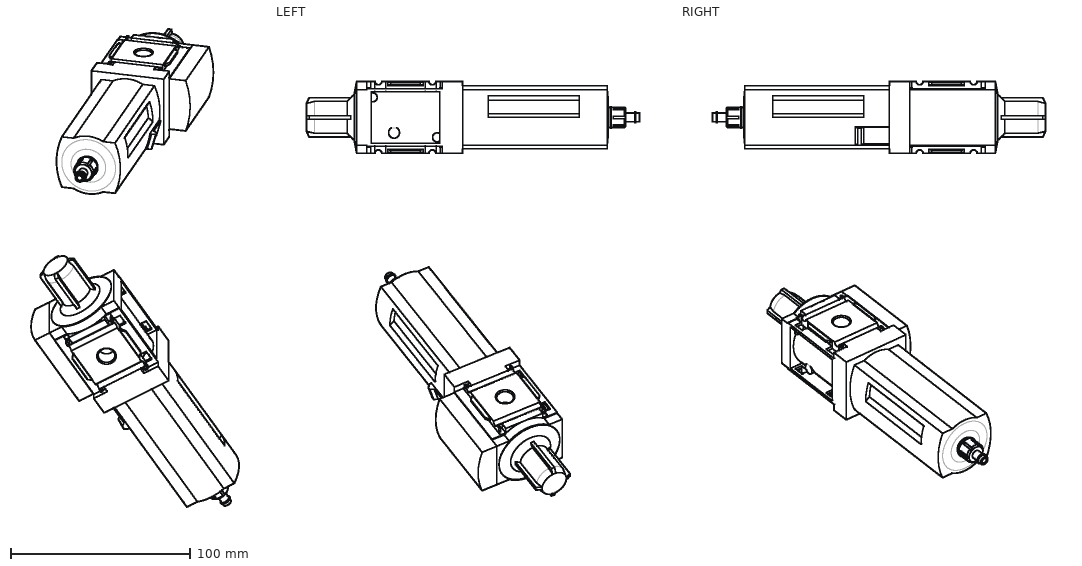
import cadquery as cq
import math


HOUSING_LEFT = -21.2
HOUSING_RIGHT = 20.8
HOUSING_HALF_HEIGHT = 20.0
HOUSING_END = -59.0
COLLAR_START = -47.7
DECK_HEIGHT = 15.5
STRIP_HEIGHT = 16.0
SADDLE_END = -5.5
PORT_Y = -27.1

PLATE_HALF_WIDTH = 15.0
GROOVE_RADIUS = 1.9
GROOVE_OFFSET = 15.0
NOTCH_WIDTH = 3.2
NOTCH_INNER_OFFSET = 17.3
NOTCH_FLOOR_RISE = 0.5
HOOK_WIDTH = 1.1
HOOK_LENGTH = 2.0
RAIL_WIDTH = 2.5
RAIL_LENGTH = 19.7
RAIL_CORNER = 1.7
RAIL_TOP_DEPTH = 0.5
RAIL_EDGE_DEPTH = 1.7
RAIL_ROOT_DEPTH = 2.5
PORT_DIAMETER = 9.3
PORT_DEPTH = 9.3
PORT_CHAMFER = 0.7

RECESS_LENGTH = 38.0
RECESS_HALF_HEIGHT = 14.3
RECESS_FLOOR = -7.5
CORE_RADIUS = 19.1
PIN_END = -18.2
PINS = (
    (6.1, -20.8, -8.5),
    (5.0, -9.0, 11.1),
    (5.0, -44.8, -11.1),
)
SLOT_OUTER = -19.1
SLOT_PLATE_BITE = 0.2
SLOT_LENGTH = 6.1
SLOT_OFFSET = 14.1

KNOB_TIP = 28.0
KNOB_RADIUS = 9.0
KNOB_TIP_RADIUS = 7.8
KNOB_TAPER_LENGTH = 4.5
FLARE_START = 5.4
FLARE_END = 1.5
FLARE_RADIUS = 12.8
KNOB_BASE_RADIUS = 19.5
KNOB_BASE_EDGE = 0.2
FIN_REACH = 11.0
FIN_WIDTH = 2.0
FIN_TIP = 26.5

BOWL_END = -139.6
BOWL_HALF_WIDTH = 18.5
BOWL_CORNER_X = 15.5
BOWL_ROUND_RADIUS = 17.6
BOSS_BASE_RADIUS = 15.6
BOSS_TOP_RADIUS = 10.0
BOSS_HEIGHT = 0.5
WINDOW_START = -73.4
WINDOW_END = -124.0
WINDOW_TOP = 12.0
WINDOW_TOP_SLOPE = 2.5
WINDOW_BOTTOM_SLOPE = 2.0
WINDOW_DEPTH = 2.6

LATCH_TOP_Z = -5.2
LATCH_WIDTH = 9.8
LATCH_STRIP_THICKNESS = 1.0
LATCH_BUTTON_THICKNESS = 3.0
LATCH_BUTTON_LENGTH = 4.8
LATCH_BUTTON_TAPER = 1.5

DRAIN_NECK_RADIUS = 5.5
DRAIN_RIM_DIAMETER = 12.0
DRAIN_BARREL_RADIUS = 5.8
DRAIN_NECK_LENGTH = 1.1
DRAIN_RIM_LENGTH = 0.5
DRAIN_END = -150.0
DRAIN_CHAMFER = 1.0
DRAIN_SLOT_COUNT = 6
DRAIN_SLOT_WIDTH = 1.3
DRAIN_SLOT_LENGTH = 7.0
DRAIN_SLOT_FLOOR_RADIUS = 5.2
NOZZLE_TIP = KNOB_TIP - 185.7
NOZZLE_DIAMETER = 5.0
NOZZLE_RIM_DIAMETER = 6.1
NOZZLE_RIM_START = -155.0
NOZZLE_RIM_LENGTH = 0.5
NOZZLE_BORE_DIAMETER = 3.0

GAUGE_RIGHT = HOUSING_LEFT + 54.0
GAUGE_CORNER_X = 30.3


def box(x_range, y_range, z_range):
    """Axis-aligned box between two limits on each axis."""
    lows, highs = zip(*(sorted(limits) for limits in (x_range, y_range, z_range)))
    sizes = [high - low for low, high in zip(lows, highs)]
    return cq.Workplane("XY").box(*sizes, centered=False).translate(lows)


def section_at(y):
    """Workplane across the long axis at y, with local axes (x, z); extrudes toward -Y."""
    return cq.Workplane("XZ", origin=(0, y, 0))


def cylinder(radius, start, end):
    """Round bar on the long axis; start is the +Y end."""
    return section_at(start).circle(radius).extrude(start - end)


def turned(profile):
    """Solid of revolution about the long axis from (radius, y) points."""
    return cq.Workplane("XY").polyline(profile).close().revolve(360, (0, 0, 0), (0, 1, 0))


def with_mirror(shape, plane):
    return shape.union(shape.mirror(plane))



def plate_rails():
    """Rails along both sides of the +Z plate, with sloped undersides and mitred ends."""
    outer_x = PLATE_HALF_WIDTH + RAIL_WIDTH
    root_z = HOUSING_HALF_HEIGHT - RAIL_ROOT_DEPTH
    edge_z = HOUSING_HALF_HEIGHT - RAIL_EDGE_DEPTH
    top_z = HOUSING_HALF_HEIGHT - RAIL_TOP_DEPTH
    profile = [
        (-PLATE_HALF_WIDTH, root_z),
        (-outer_x, edge_z),
        (-outer_x, top_z),
        (outer_x, top_z),
        (outer_x, edge_z),
        (PLATE_HALF_WIDTH, root_z),
    ]
    rails = section_at(PORT_Y + RAIL_LENGTH / 2).polyline(profile).close().extrude(RAIL_LENGTH)
    mitred_outline = (
        cq.Workplane("XY", origin=(0, PORT_Y, 0))
        .rect(2 * outer_x, RAIL_LENGTH)
        .extrude(HOUSING_HALF_HEIGHT)
        .edges("|Z")
        .chamfer(RAIL_CORNER)
    )
    return rails.intersect(mitred_outline)


def corner_notch(side, end, end_y):
    """Cutter for one plate corner that leaves a small hook standing in it."""
    height = (STRIP_HEIGHT + NOTCH_FLOOR_RISE, HOUSING_HALF_HEIGHT)
    edge_x = side * PLATE_HALF_WIDTH
    inner_y = PORT_Y + end * NOTCH_INNER_OFFSET
    notch = box((edge_x, edge_x - side * NOTCH_WIDTH), (end_y, inner_y), height)
    hook = box((edge_x, edge_x - side * HOOK_WIDTH), (inner_y, inner_y + end * HOOK_LENGTH), height)
    return notch.cut(hook)


def port_plate():
    """Raised plate on the +Z side: side rails, corner notches and grooves."""
    plate = box(
        (-PLATE_HALF_WIDTH, PLATE_HALF_WIDTH), (SADDLE_END, COLLAR_START), (0, HOUSING_HALF_HEIGHT)
    )
    plate = plate.union(plate_rails())
    for side in (-1, 1):
        for end, end_y in ((1, SADDLE_END), (-1, COLLAR_START)):
            plate = plate.cut(corner_notch(side, end, end_y))
    grooves = (
        cq.Workplane("YZ", origin=(-PLATE_HALF_WIDTH, PORT_Y, HOUSING_HALF_HEIGHT))
        .pushPoints([(-GROOVE_OFFSET, 0), (GROOVE_OFFSET, 0)])
        .circle(GROOVE_RADIUS)
        .extrude(2 * PLATE_HALF_WIDTH)
    )
    return plate.cut(grooves)


def port():
    """Cutter for the chamfered port in the +Z plate."""
    mouth = cq.Workplane("XY", origin=(0, PORT_Y, HOUSING_HALF_HEIGHT))
    hole = mouth.circle(PORT_DIAMETER / 2).extrude(-PORT_DEPTH)
    chamfer = mouth.circle(PORT_DIAMETER / 2 + PORT_CHAMFER).extrude(-PORT_CHAMFER, taper=45)
    return hole.union(chamfer)


def recess():
    """Cutter for the -X recess around the round core, with slots through its two walls."""
    half_length = RECESS_LENGTH / 2
    pocket = box(
        (HOUSING_LEFT, RECESS_FLOOR),
        (PORT_Y - half_length, PORT_Y + half_length),
        (-RECESS_HALF_HEIGHT, RECESS_HALF_HEIGHT),
    )
    for side in (-1, 1):
        slot_y = PORT_Y + side * SLOT_OFFSET
        slot = box(
            (SLOT_OUTER, SLOT_PLATE_BITE - PLATE_HALF_WIDTH),
            (slot_y - SLOT_LENGTH / 2, slot_y + SLOT_LENGTH / 2),
            (-HOUSING_HALF_HEIGHT, HOUSING_HALF_HEIGHT),
        )
        pocket = pocket.union(slot)
    return pocket.cut(cylinder(CORE_RADIUS, 0, COLLAR_START))


def recess_pins():
    """Stub pins that stand on the core and face -X."""
    pins = cq.Workplane("XY")
    for diameter, y, z in PINS:
        base = cq.Workplane("YZ", origin=(PIN_END, y, z))
        pins = pins.add(base.circle(diameter / 2).extrude(RECESS_FLOOR - PIN_END))
    return pins.combine()


def make_housing_block():
    width = (HOUSING_LEFT, HOUSING_RIGHT)
    full_height = (-HOUSING_HALF_HEIGHT, HOUSING_HALF_HEIGHT)
    block = box(width, (0, SADDLE_END), (-DECK_HEIGHT, DECK_HEIGHT))
    block = block.union(box(width, (SADDLE_END, COLLAR_START), (-STRIP_HEIGHT, STRIP_HEIGHT)))
    block = block.union(box(width, (COLLAR_START, HOUSING_END), full_height))
    block = block.union(cylinder(HOUSING_HALF_HEIGHT, 0, SADDLE_END))
    block = block.union(with_mirror(port_plate(), "XY"))
    block = block.cut(with_mirror(port(), "XY"))
    return block.cut(recess()).union(recess_pins())



def fin_pair():
    """Two opposite fins, made as one plate through the knob with sloped corners at the tip."""
    outline = [
        (-FIN_REACH, FLARE_END),
        (-FIN_REACH, FIN_TIP),
        (-KNOB_TIP_RADIUS, KNOB_TIP),
        (KNOB_TIP_RADIUS, KNOB_TIP),
        (FIN_REACH, FIN_TIP),
        (FIN_REACH, FLARE_END),
    ]
    return cq.Workplane("XY").polyline(outline).close().extrude(FIN_WIDTH / 2, both=True)


def make_knob():
    knob = turned([
        (0, 0),
        (KNOB_BASE_RADIUS, 0),
        (KNOB_BASE_RADIUS, KNOB_BASE_EDGE),
        (FLARE_RADIUS, FLARE_END),
        (KNOB_RADIUS, FLARE_START),
        (KNOB_RADIUS, KNOB_TIP - KNOB_TAPER_LENGTH),
        (KNOB_TIP_RADIUS, KNOB_TIP),
        (0, KNOB_TIP),
    ])
    return knob.union(fin_pair()).union(fin_pair().rotate((0, 0, 0), (0, 1, 0), 90))



SIDE_SAGITTA = BOWL_HALF_WIDTH - BOWL_CORNER_X
SIDE_RADIUS = (DECK_HEIGHT ** 2 + SIDE_SAGITTA ** 2) / (2 * SIDE_SAGITTA)


def side_x(z):
    """Half width of the bowl at height z, on its bulged side."""
    return BOWL_HALF_WIDTH - SIDE_RADIUS + math.sqrt(SIDE_RADIUS ** 2 - z ** 2)


def sight_window():
    """Cutter for the shallow +X window: sloped long walls and a floor that follows the side."""
    floor_bottom = WINDOW_BOTTOM_SLOPE
    floor_top = WINDOW_TOP - WINDOW_TOP_SLOPE
    floor_middle = (floor_bottom + floor_top) / 2
    return (
        section_at(WINDOW_START)
        .moveTo(side_x(floor_bottom) - WINDOW_DEPTH, floor_bottom)
        .threePointArc(
            (side_x(floor_middle) - WINDOW_DEPTH, floor_middle),
            (side_x(floor_top) - WINDOW_DEPTH, floor_top),
        )
        .lineTo(side_x(WINDOW_TOP), WINDOW_TOP)
        .lineTo(BOWL_HALF_WIDTH + WINDOW_DEPTH, WINDOW_TOP)
        .lineTo(BOWL_HALF_WIDTH + WINDOW_DEPTH, 0)
        .lineTo(BOWL_HALF_WIDTH, 0)
        .close()
        .extrude(WINDOW_START - WINDOW_END)
    )


def latch():
    """Thin strip against the lower +X side, ending in a raised button with a sloped end."""
    top_x = side_x(LATCH_TOP_Z)
    rise = DECK_HEIGHT + LATCH_TOP_Z
    slope = math.atan2(top_x - BOWL_CORNER_X, rise)
    strip_root = -2 * LATCH_STRIP_THICKNESS
    button_end = WINDOW_START - LATCH_BUTTON_LENGTH
    outline = [
        (strip_root, HOUSING_END),
        (LATCH_STRIP_THICKNESS, HOUSING_END),
        (LATCH_STRIP_THICKNESS, WINDOW_START),
        (LATCH_BUTTON_THICKNESS, WINDOW_START - LATCH_BUTTON_TAPER),
        (LATCH_BUTTON_THICKNESS, button_end + LATCH_BUTTON_TAPER),
        (LATCH_STRIP_THICKNESS, button_end),
        (strip_root, button_end),
    ]
    flat_latch = cq.Workplane("XY").polyline(outline).close().extrude(-LATCH_WIDTH)
    leaning = flat_latch.rotate((0, 0, 0), (0, 1, 0), math.degrees(slope))
    return leaning.translate((top_x, 0, LATCH_TOP_Z))


def make_bowl():
    length = HOUSING_END - BOWL_END
    bowl = (
        section_at(HOUSING_END)
        .moveTo(-BOWL_CORNER_X, DECK_HEIGHT)
        .lineTo(BOWL_CORNER_X, DECK_HEIGHT)
        .threePointArc((BOWL_HALF_WIDTH, 0), (BOWL_CORNER_X, -DECK_HEIGHT))
        .lineTo(-BOWL_CORNER_X, -DECK_HEIGHT)
        .threePointArc((-BOWL_HALF_WIDTH, 0), (-BOWL_CORNER_X, DECK_HEIGHT))
        .close()
        .extrude(length)
    )
    bowl = bowl.union(cylinder(BOWL_ROUND_RADIUS, HOUSING_END, BOWL_END))
    bowl = bowl.union(latch())
    bowl = bowl.cut(with_mirror(sight_window(), "YZ"))
    boss_top = BOWL_END - BOSS_HEIGHT
    boss = turned([
        (0, BOWL_END), (BOSS_BASE_RADIUS, BOWL_END), (BOSS_TOP_RADIUS, boss_top), (0, boss_top),
    ])
    return bowl.union(boss)



def make_drain():
    neck_start = BOWL_END - BOSS_HEIGHT
    rim_start = neck_start - DRAIN_NECK_LENGTH
    rim_end = rim_start - DRAIN_RIM_LENGTH
    nozzle_rim_end = NOZZLE_RIM_START - NOZZLE_RIM_LENGTH
    drain = cylinder(DRAIN_NECK_RADIUS, neck_start, rim_end)
    drain = drain.union(cylinder(DRAIN_RIM_DIAMETER / 2, rim_start, rim_end))
    barrel = cylinder(DRAIN_BARREL_RADIUS, rim_end, DRAIN_END)
    barrel = barrel.faces("<Y").edges().chamfer(DRAIN_CHAMFER)
    slot = box(
        (DRAIN_SLOT_FLOOR_RADIUS, 2 * DRAIN_BARREL_RADIUS),
        (DRAIN_END, DRAIN_END + DRAIN_SLOT_LENGTH),
        (-DRAIN_SLOT_WIDTH / 2, DRAIN_SLOT_WIDTH / 2),
    )
    for index in range(DRAIN_SLOT_COUNT):
        barrel = barrel.cut(slot.rotate((0, 0, 0), (0, 1, 0), index * 360 / DRAIN_SLOT_COUNT))
    drain = drain.union(barrel)
    drain = drain.union(cylinder(NOZZLE_DIAMETER / 2, DRAIN_END, NOZZLE_TIP))
    drain = drain.union(cylinder(NOZZLE_RIM_DIAMETER / 2, NOZZLE_RIM_START, nozzle_rim_end))
    return drain.cut(cylinder(NOZZLE_BORE_DIAMETER / 2, DRAIN_END, NOZZLE_TIP))



def make_regulator():
    """Housing with its knob, bowl and drain as one solid."""
    return make_housing_block().union(make_knob()).union(make_bowl()).union(make_drain())


def make_gauge_block():
    """Block with a bulged outer face that sits flat on the +X side of the housing."""
    return (
        section_at(0)
        .moveTo(HOUSING_RIGHT, DECK_HEIGHT)
        .lineTo(GAUGE_CORNER_X, DECK_HEIGHT)
        .threePointArc((GAUGE_RIGHT, 0), (GAUGE_CORNER_X, -DECK_HEIGHT))
        .lineTo(HOUSING_RIGHT, -DECK_HEIGHT)
        .close()
        .extrude(-COLLAR_START)
    )


regulator = make_regulator()
gauge_block = make_gauge_block()
result = cq.Compound.makeCompound([regulator.solids().val(), gauge_block.val()])